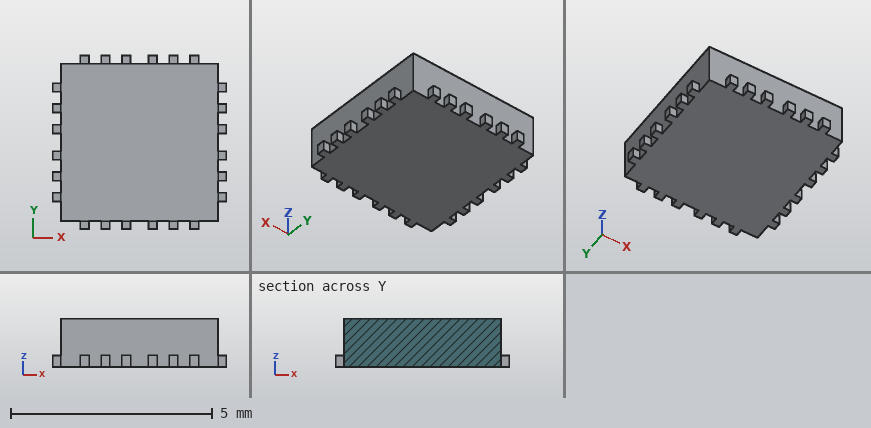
import cadquery as cq

overall_span = 4.3
body_side = 3.9
body_height = 1.2

lead_width = 0.22
lead_height = 0.29
lead_pitch = 0.515
inner_lead_offset = 0.325
leads_per_group = 3

lead_length = (overall_span - body_side) / 2
side_count = 4


def make_body():
    return cq.Workplane("XY").box(body_side, body_side, body_height, centered=(True, True, False))


def lead_positions():
    """Lead centres along one side, mirrored about its middle."""
    one_group = [inner_lead_offset + i * lead_pitch for i in range(leads_per_group)]
    return [sign * offset for offset in one_group for sign in (-1, 1)]


def make_lead_row():
    """Leads standing out from the +X side of the body."""
    lead_centre_x = (body_side + lead_length) / 2
    return (
        cq.Workplane("XY")
        .pushPoints([(lead_centre_x, y) for y in lead_positions()])
        .rect(lead_length, lead_width)
        .extrude(lead_height)
    )


result = make_body()
lead_row = make_lead_row()
for side in range(side_count):
    turn = side * 360 / side_count
    result = result.union(lead_row.rotate((0, 0, 0), (0, 0, 1), turn))